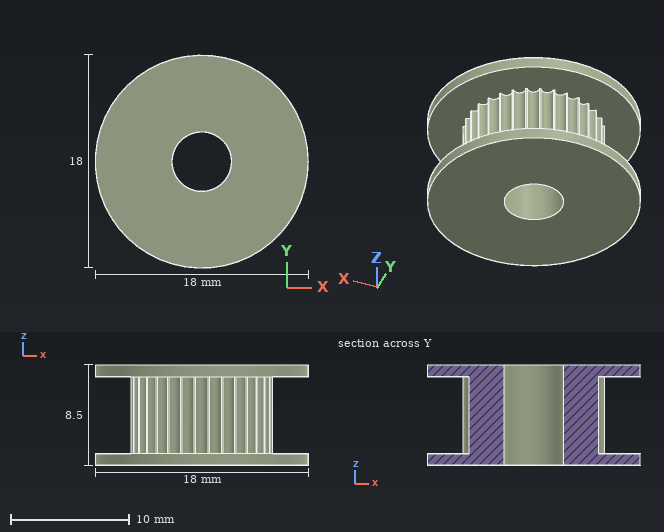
import cadquery as cq

flange_diameter = 18.0
flange_thickness = 1.0
total_height = 8.5
hub_diameter = 12.0
bore_diameter = 5.0

groove_count = 32
groove_radius = 0.52

hub_height = total_height - 2 * flange_thickness


def flange(bottom_z):
    disc = cq.Workplane("XY").workplane(offset=bottom_z)
    return disc.circle(flange_diameter / 2).extrude(flange_thickness)


def toothed_hub():
    base = cq.Workplane("XY").workplane(offset=-hub_height / 2)
    hub = base.circle(hub_diameter / 2).extrude(hub_height)
    grooves = (
        base.polarArray(hub_diameter / 2, 0, 360, groove_count)
        .circle(groove_radius)
        .extrude(hub_height)
    )
    return hub.cut(grooves)


bore = cq.Workplane("XY").circle(bore_diameter / 2).extrude(total_height / 2, both=True)

result = (
    toothed_hub()
    .union(flange(-total_height / 2))
    .union(flange(hub_height / 2))
    .cut(bore)
)